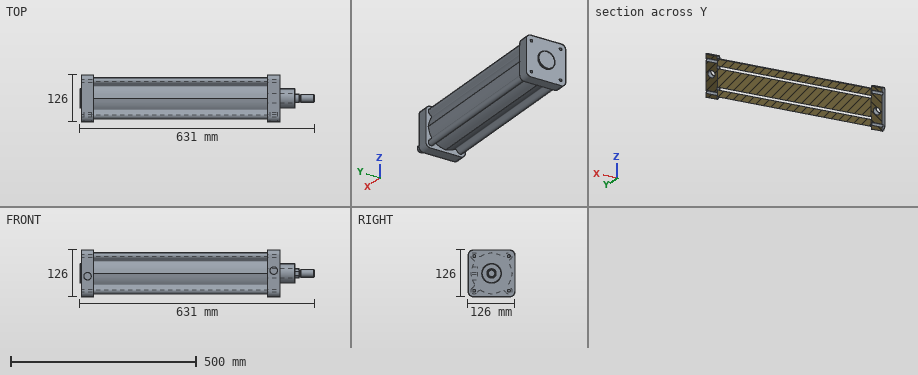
import cadquery as cq
import math


TOTAL_LENGTH = 631.0
REAR_BOSS_HEIGHT = 4.5
REAR_CAP_THICKNESS = 33.0
BARREL_LENGTH = 467.5
HEAD_THICKNESS = 34.0
GLAND_LENGTH = 40.5
BARREL_START = REAR_BOSS_HEIGHT + REAR_CAP_THICKNESS
HEAD_START = BARREL_START + BARREL_LENGTH
HEAD_END = HEAD_START + HEAD_THICKNESS
GLAND_END = HEAD_END + GLAND_LENGTH

BLOCK_SIDE = 126.0
BLOCK_CORNER_RADIUS = 14.5
BOSS_RADIUS = 26.5
BOSS_CHAMFER = 1.0
PORT_RADIUS = 10.0
PORT_DEPTH = 25.0
PORT_OFFSET = 7.5
SCREW_HOLE_RADIUS = 4.0

BARREL_RADIUS = 54.0
RIDGE_TILT = 13.0
DIAGONAL_ANGLE = 45
RAIL_RADIUS = 9.0
RAIL_OFFSET = 47.0
WEB_FILLET = 2.5

ROD_RADIUS = 12.5
ROD_FLAT_OFFSET = 11.5
ROD_SHOULDER_LENGTH = 10.0
NECK_RADIUS = 9.5
NECK_LENGTH = 4.0
THREAD_RADIUS = 11.0
THREAD_CHAMFER = 2.0
SHOULDER_END = GLAND_END + ROD_SHOULDER_LENGTH
THREAD_START = SHOULDER_END + NECK_LENGTH


def section_plane(x):
    """Plane across the cylinder axis at x: local x is +Y, local y is +Z, normal is +X."""
    return cq.Workplane("YZ", origin=(x, 0, 0))


def disc(start, length, radius):
    return section_plane(start).circle(radius).extrude(length)


def polar(radius, degrees):
    angle = math.radians(degrees)
    return (radius * math.cos(angle), radius * math.sin(angle))


def turned(point, degrees):
    """The point turned about the origin."""
    heading = math.degrees(math.atan2(point[1], point[0]))
    return polar(math.hypot(*point), heading + degrees)


def barrel_profile(plane):
    """Round body with a ridge on each side and a round-ended rail on each diagonal."""
    ridge_radius = BARREL_RADIUS / math.cos(math.radians(RIDGE_TILT))
    rail_distance = RAIL_OFFSET * math.sqrt(2)
    fillet_distance = BARREL_RADIUS + WEB_FILLET

    fillet_angle = math.degrees(math.asin((RAIL_RADIUS + WEB_FILLET) / fillet_distance))
    fillet_along, fillet_across = polar(fillet_distance, fillet_angle)
    toward_axis = 180 + fillet_angle
    toward_rail = 270
    step_along, step_across = polar(WEB_FILLET, (toward_axis + toward_rail) / 2)
    tangent_angle = DIAGONAL_ANGLE - RIDGE_TILT

    tangent = polar(BARREL_RADIUS, tangent_angle)
    arc_middle = polar(BARREL_RADIUS, (tangent_angle + fillet_angle) / 2)
    fillet_start = polar(BARREL_RADIUS, fillet_angle)
    fillet_middle = (fillet_along + step_along, fillet_across + step_across)
    rail_foot = (fillet_along, RAIL_RADIUS)
    rail_side = (rail_distance, RAIL_RADIUS)

    outline = plane.moveTo(ridge_radius, 0)
    for quarter in range(4):
        diagonal = DIAGONAL_ANGLE + 90 * quarter

        def before(point):
            return turned((point[0], -point[1]), diagonal)

        def after(point):
            return turned(point, diagonal)

        outline = (
            outline.lineTo(*before(tangent))
            .threePointArc(before(arc_middle), before(fillet_start))
            .threePointArc(before(fillet_middle), before(rail_foot))
            .lineTo(*before(rail_side))
            .threePointArc(polar(rail_distance + RAIL_RADIUS, diagonal), after(rail_side))
            .lineTo(*after(rail_foot))
            .threePointArc(after(fillet_middle), after(fillet_start))
            .threePointArc(after(arc_middle), after(tangent))
            .lineTo(*polar(ridge_radius, diagonal + DIAGONAL_ANGLE))
        )
    return outline.close()


def make_barrel():
    return barrel_profile(section_plane(BARREL_START)).extrude(BARREL_LENGTH)


def end_block(start, thickness, port_height):
    """Square block with rounded corners, four screw holes and a port in its -Y side."""
    block = section_plane(start).rect(BLOCK_SIDE, BLOCK_SIDE).extrude(thickness)
    block = block.edges("|X").fillet(BLOCK_CORNER_RADIUS)
    screw_holes = (
        section_plane(start)
        .rect(2 * RAIL_OFFSET, 2 * RAIL_OFFSET, forConstruction=True)
        .vertices()
        .circle(SCREW_HOLE_RADIUS)
        .extrude(thickness)
    )
    port = cq.Workplane("XZ", origin=(start + thickness / 2, -BLOCK_SIDE / 2, port_height))
    port = port.circle(PORT_RADIUS).extrude(-PORT_DEPTH)
    return block.cut(screw_holes).cut(port)


def make_rear_cap():
    boss = disc(0, REAR_BOSS_HEIGHT, BOSS_RADIUS).faces("<X").chamfer(BOSS_CHAMFER)
    return end_block(REAR_BOSS_HEIGHT, REAR_CAP_THICKNESS, -PORT_OFFSET).union(boss)


def make_head():
    gland = disc(HEAD_END, GLAND_LENGTH, BOSS_RADIUS).faces(">X").chamfer(BOSS_CHAMFER)
    rod_bore = disc(HEAD_START, HEAD_THICKNESS + GLAND_LENGTH, ROD_RADIUS)
    return end_block(HEAD_START, HEAD_THICKNESS, PORT_OFFSET).union(gland).cut(rod_bore)


def make_rod():
    """Rod seated on the barrel end, with two wrench flats, a neck and a threaded end."""
    shank = disc(HEAD_START, SHOULDER_END - HEAD_START, ROD_RADIUS)
    flat_depth = ROD_RADIUS - ROD_FLAT_OFFSET
    for side in (-1, 1):
        flat_cut = cq.Workplane("XY").box(ROD_SHOULDER_LENGTH, flat_depth, 2 * ROD_RADIUS)
        flat_centre = side * (ROD_FLAT_OFFSET + flat_depth / 2)
        shank = shank.cut(flat_cut.translate((GLAND_END + ROD_SHOULDER_LENGTH / 2, flat_centre, 0)))
    neck = disc(SHOULDER_END, NECK_LENGTH, NECK_RADIUS)
    thread = disc(THREAD_START, TOTAL_LENGTH - THREAD_START, THREAD_RADIUS)
    thread = thread.faces("<X or >X").chamfer(THREAD_CHAMFER)
    return shank.union(neck).union(thread)


barrel = make_barrel()
rear_cap = make_rear_cap()
head = make_head()
rod = make_rod()

result = cq.Compound.makeCompound([barrel.val(), rear_cap.val(), head.val(), rod.val()])